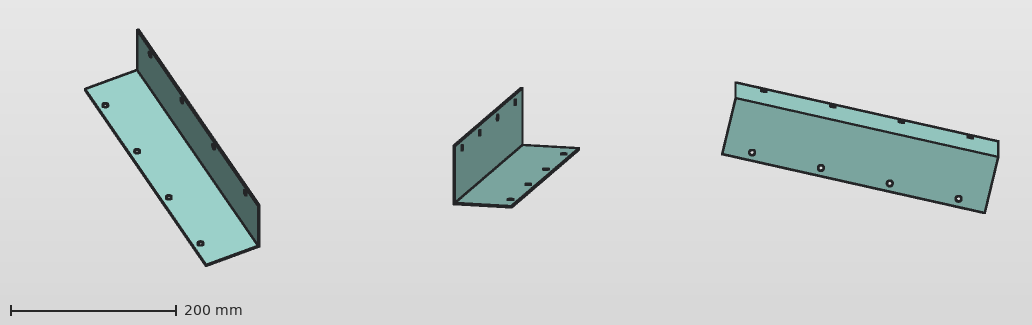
import cadquery as cq

length = 325.0
leg = 72.0
thickness = 2.0
hole_diameter = 6.8
hole_count = 4
hole_pitch = 85.0
hole_edge_distance = 10.0


def row_of_holes(plane, distance_from_corner):
    """Cylinders passing through one leg, in a row centred along the length."""
    first_x = (length - (hole_count - 1) * hole_pitch) / 2
    centres = [(first_x + i * hole_pitch, distance_from_corner) for i in range(hole_count)]
    return (
        cq.Workplane(plane)
        .pushPoints(centres)
        .circle(hole_diameter / 2)
        .extrude(thickness, both=True)
    )


base_leg = cq.Workplane("XY").box(length, leg, thickness, centered=False).translate((0, -leg, 0))
upright_leg = cq.Workplane("XY").box(length, thickness, leg, centered=False).translate((0, -thickness, 0))

row_offset = leg - hole_edge_distance
result = (
    base_leg.union(upright_leg)
    .cut(row_of_holes("XY", -row_offset))
    .cut(row_of_holes("XZ", row_offset))
)